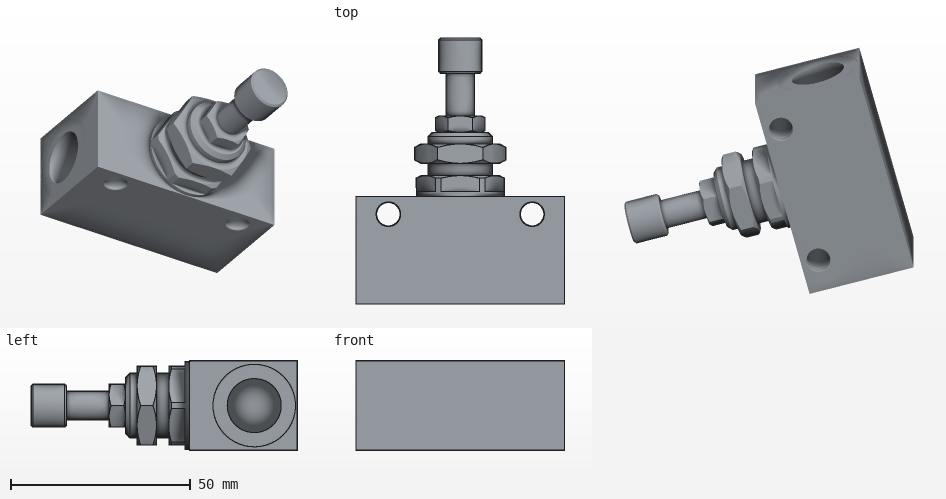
import cadquery as cq
import math


BODY_LENGTH = 58.0
BODY_DEPTH = 30.0
BODY_HEIGHT = 25.0

MOUNT_HOLE_DIAMETER = 6.5
MOUNT_HOLE_CHAMFER = 0.15
MOUNT_HOLE_SPACING = 40.0
MOUNT_HOLE_SETBACK = 5.0

PORT_DIAMETER = 15.05
PORT_DEPTH = 13.35
PORT_SETBACK = 18.0
SPOTFACE_DIAMETER = 23.0
SPOTFACE_DEPTH = 0.1

COLLAR_DIAMETER = 24.5
NUT_WIDTH = 22.0
SLEEVE_DIAMETER = 18.0
SLEEVE_CHAMFER = 1.2
LOCK_NUT_WIDTH = 12.0
STEM_DIAMETER = 8.0
KNOB_DIAMETER = 12.0
KNOB_CHAMFER = 0.5
NUT_CHAMFER_ANGLE = 30

COLLAR_TOP = 1.3
BASE_HEX_TOP = 5.8
PANEL_NUT_BOTTOM = 9.2
PANEL_NUT_TOP = 14.6
SLEEVE_TOP = 17.8
LOCK_NUT_TOP = 22.4
KNOB_BOTTOM = 34.2
SCREW_TOP = 44.1


def cylinder(diameter, bottom, top):
    """Round section on the Y axis between two distances from the mounting face."""
    plane = cq.Workplane("XZ", origin=(0, bottom, 0))
    return plane.circle(diameter / 2).extrude(bottom - top)


def across_corners(width):
    """Corner-to-corner size of a hexagon with the given width across flats."""
    return width / math.cos(math.radians(30))


def hexagon(width, bottom, top):
    """Hexagonal section on the Y axis with flats facing +Z and -Z."""
    plane = cq.Workplane("XZ", origin=(0, bottom, 0))
    return plane.polygon(6, across_corners(width)).extrude(bottom - top)


def chamfered_blank(width, diameter, bottom, top, ends):
    """Turned blank whose end faces have the flat width, coned out to the given diameter."""
    run = (diameter - width) / 2
    rise = run * math.tan(math.radians(NUT_CHAMFER_ANGLE))
    return cylinder(diameter, bottom, top).faces(ends).chamfer(rise, run)


def nut(width, bottom, top):
    """Hexagon nut with conical chamfers on both end faces."""
    blank = chamfered_blank(width, across_corners(width), bottom, top, "<Y or >Y")
    return hexagon(width, bottom, top).intersect(blank)


def valve_body():
    body = cq.Workplane("XY").box(BODY_LENGTH, BODY_DEPTH, BODY_HEIGHT)
    body = body.translate((0, -BODY_DEPTH / 2, 0))
    for side in (-1, 1):
        body = body.cut(mounting_hole(side))
        body = body.cut(port(side))
    return body


def mounting_hole(side):
    """Through hole along Z, flared by a small chamfer at both mouths."""
    radius = MOUNT_HOLE_DIAMETER / 2
    plane = cq.Workplane("XY").center(side * MOUNT_HOLE_SPACING / 2, -MOUNT_HOLE_SETBACK)
    hole = plane.circle(radius).extrude(BODY_HEIGHT / 2, both=True)
    for end in (-1, 1):
        mouth = plane.workplane(offset=end * BODY_HEIGHT / 2).circle(radius + MOUNT_HOLE_CHAMFER)
        flare = mouth.workplane(offset=-end * MOUNT_HOLE_CHAMFER).circle(radius).loft()
        hole = hole.union(flare)
    return hole


def port(side):
    """Blind bore along X with a very shallow spotface around its mouth."""
    mouth = cq.Workplane("YZ", origin=(side * BODY_LENGTH / 2, -PORT_SETBACK, 0))
    bore = mouth.circle(PORT_DIAMETER / 2).extrude(-side * PORT_DEPTH)
    spotface = mouth.circle(SPOTFACE_DIAMETER / 2).extrude(-side * SPOTFACE_DEPTH)
    return bore.union(spotface)


def base_hex():
    """Hexagon with corners turned down to the collar diameter, chamfered on its outer end."""
    blank = chamfered_blank(NUT_WIDTH, COLLAR_DIAMETER, COLLAR_TOP, BASE_HEX_TOP, ">Y")
    return hexagon(NUT_WIDTH, COLLAR_TOP, BASE_HEX_TOP).intersect(blank)


def sleeve():
    return cylinder(SLEEVE_DIAMETER, 0, SLEEVE_TOP).faces(">Y").chamfer(SLEEVE_CHAMFER)


def knob():
    return cylinder(KNOB_DIAMETER, KNOB_BOTTOM, SCREW_TOP).faces("<Y or >Y").chamfer(KNOB_CHAMFER)


result = (
    valve_body()
    .union(cylinder(COLLAR_DIAMETER, 0, COLLAR_TOP))
    .union(base_hex())
    .union(sleeve())
    .union(nut(NUT_WIDTH, PANEL_NUT_BOTTOM, PANEL_NUT_TOP))
    .union(nut(LOCK_NUT_WIDTH, SLEEVE_TOP, LOCK_NUT_TOP))
    .union(cylinder(STEM_DIAMETER, SLEEVE_TOP, KNOB_BOTTOM))
    .union(knob())
)